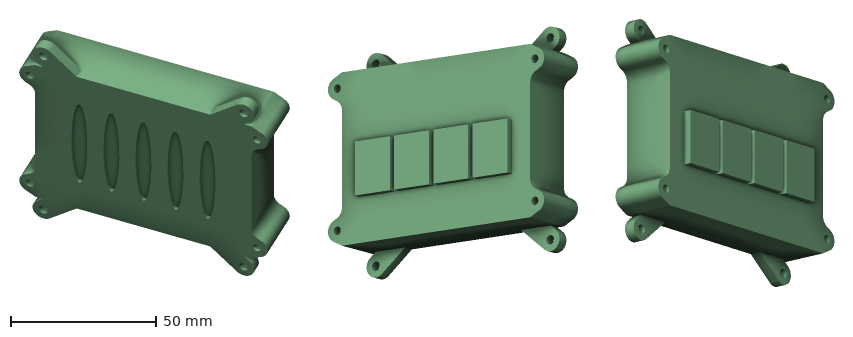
import cadquery as cq
import math

case_width = 81.0
case_height = 61.0
half_width = case_width / 2
half_height = case_height / 2

base_depth = 9.75
cover_depth = 9.75

lug_x = 42.5
lug_z = 25.0
lug_radius = 4.0
lug_hole_diameter = 3.0
lug_root_fillet = 4.0

ear_x = 37.5
ear_z = 35.5
ear_radius = 4.0
ear_thickness = 4.0
ear_angle = 39.0
ear_length = 18.0
ear_hole_diameter = 3.3

groove_count = 5
groove_pitch = 12.0
groove_width = 6.0
groove_height = 36.0
groove_depth = 1.5

display_count = 4
display_pitch = 16.85
display_width = 15.0
display_height = 19.0
display_z = -4.75
display_protrusion = 2.8
board_thickness = 2.0
board_width = (display_count - 1) * display_pitch + display_width

corner_signs = [(sx, sz) for sx in (-1, 1) for sz in (-1, 1)]


def plane_at(y):
    """XZ plane at depth y, seen with +X right and +Z up."""
    return cq.Workplane(cq.Plane(origin=(0, y, 0), xDir=(1, 0, 0), normal=(0, -1, 0)))


def extrude_back(sketch, depth):
    """Extrude a closed sketch toward +Y."""
    return sketch.extrude(-depth)


def corner_points(x, z):
    """The same point mirrored into all four corners."""
    return [(sx * x, sz * z) for sx, sz in corner_signs]


def lug_web(sx, sz, y, depth):
    """Web whose sloped edges run from the case side to tangent points on a lug."""
    root_reach = lug_x - half_width
    root_offset = half_height - lug_z
    root_distance = math.hypot(root_reach, root_offset)
    tangent_angle = math.atan2(root_offset, -root_reach) - math.acos(lug_radius / root_distance)
    tangent_x = lug_x + lug_radius * math.cos(tangent_angle)
    tangent_rise = lug_radius * math.sin(tangent_angle)
    outline = [
        (half_width, half_height),
        (tangent_x, lug_z + tangent_rise),
        (lug_x, lug_z),
        (tangent_x, lug_z - tangent_rise),
        (half_width, lug_z - root_offset),
    ]
    web = plane_at(y).polyline([(sx * px, sz * pz) for px, pz in outline]).close()
    return extrude_back(web, depth)


def case_block(y, depth):
    """Case half: a rectangle with four lugs, their inner roots rounded and drilled."""
    block = extrude_back(plane_at(y).rect(case_width, case_height), depth)
    for sx, sz in corner_signs:
        block = block.union(lug_web(sx, sz, y, depth))
    lugs = plane_at(y).pushPoints(corner_points(lug_x, lug_z)).circle(lug_radius)
    block = block.union(extrude_back(lugs, depth))
    root_z = 2 * lug_z - half_height
    for root_x, z in corner_points(half_width, root_z):
        middle = (root_x, y + depth / 2, z)
        block = block.edges(cq.NearestToPointSelector(middle)).fillet(lug_root_fillet)
    holes = plane_at(y).pushPoints(corner_points(lug_x, lug_z)).circle(lug_hole_diameter / 2)
    return block.cut(extrude_back(holes, depth))


def mounting_ear(sx, sz):
    """Straight arm with a round tip, slanting from the case out to its screw hole."""
    slope = math.radians(ear_angle)
    arm_centre = (
        sx * (ear_x - ear_length / 2 * math.cos(slope)),
        sz * (ear_z - ear_length / 2 * math.sin(slope)),
    )
    arm = (
        plane_at(0)
        .center(*arm_centre)
        .transformed(rotate=(0, 0, sx * sz * ear_angle))
        .rect(ear_length, 2 * ear_radius)
    )
    tip = plane_at(0).center(sx * ear_x, sz * ear_z).circle(ear_radius)
    return extrude_back(arm, ear_thickness).union(extrude_back(tip, ear_thickness))


def make_base():
    """Front half of the case with mounting ears and elliptical grooves."""
    base = case_block(0, base_depth)
    for sx, sz in corner_signs:
        base = base.union(mounting_ear(sx, sz))
    holes = plane_at(0).pushPoints(corner_points(ear_x, ear_z)).circle(ear_hole_diameter / 2)
    base = base.cut(extrude_back(holes, ear_thickness))
    for i in range(groove_count):
        groove_x = (i - (groove_count - 1) / 2) * groove_pitch
        groove = plane_at(0).center(groove_x, 0).ellipse(groove_width / 2, groove_height / 2)
        base = base.cut(extrude_back(groove, groove_depth))
    return base


def make_display_module():
    """Row of display blocks joined by a board lying against the base."""
    board = plane_at(base_depth).center(0, display_z).rect(board_width, display_height)
    module = extrude_back(board, board_thickness)
    block_depth = cover_depth + display_protrusion
    for i in range(display_count):
        block_x = (i - (display_count - 1) / 2) * display_pitch
        block = plane_at(base_depth).center(block_x, display_z).rect(display_width, display_height)
        module = module.union(extrude_back(block, block_depth))
    return module


def make_cover(module):
    """Rear half of the case with a matching recess and windows for the displays."""
    return case_block(base_depth, cover_depth).cut(module)


base = make_base()
display_module = make_display_module()
cover = make_cover(display_module)

result = cq.Compound.makeCompound([base.val(), cover.val(), display_module.val()])